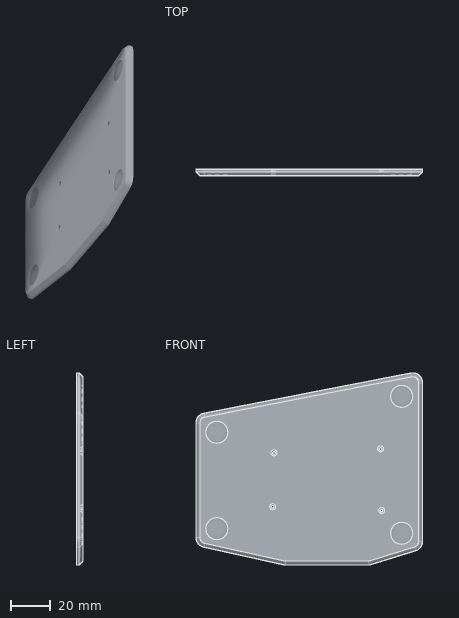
import cadquery as cq
import math

WIDTH = 113.6
HEIGHT = 96.41
THICKNESS = 3.35
CORNER_RADIUS = 5.0
EDGE_CHAMFER = 2.0

TOP_SLOPE_ANGLE = 11.0
BOTTOM_FLAT_LEFT_X = -12.1
BOTTOM_FLAT_RIGHT_X = 30.0
LEFT_CORNER_RISE = 9.9
RIGHT_CORNER_RISE = 8.3

FOOT_DIAMETER = 11.0
FOOT_DEPTH = 0.5
FOOT_X = 46.3
FOOT_CENTERS = [
    (-FOOT_X, 18.4),
    (FOOT_X, 36.4),
    (-FOOT_X, -29.9),
    (FOOT_X, -32.2),
]

SCREW_DIAMETER = 1.22
SINK_DIAMETER = 3.0
SINK_ANGLE = 90.0
SCREW_CENTERS = [
    (-17.7, 8.1),
    (35.7, 10.1),
    (-18.3, -18.9),
    (36.3, -20.8),
]

HALF_WIDTH = WIDTH / 2
HALF_HEIGHT = HEIGHT / 2
FRONT_Y = -THICKNESS / 2


def front_plane():
    """Plane on the front face: local x is +X, local y is +Z, normal is -Y."""
    return cq.Workplane("XZ", origin=(0, FRONT_Y, 0))


def make_plate():
    """Six-sided plate with rounded side corners and a chamfered front rim."""
    slope = math.radians(TOP_SLOPE_ANGLE)
    sharp_excess = CORNER_RADIUS * (1 / math.cos(slope) + math.tan(slope) - 1)
    top_right_z = HALF_HEIGHT + sharp_excess
    top_left_z = top_right_z - WIDTH * math.tan(slope)
    outline = [
        (-HALF_WIDTH, top_left_z),
        (HALF_WIDTH, top_right_z),
        (HALF_WIDTH, -HALF_HEIGHT + RIGHT_CORNER_RISE),
        (BOTTOM_FLAT_RIGHT_X, -HALF_HEIGHT),
        (BOTTOM_FLAT_LEFT_X, -HALF_HEIGHT),
        (-HALF_WIDTH, -HALF_HEIGHT + LEFT_CORNER_RISE),
    ]
    plate = front_plane().polyline(outline).close().extrude(-THICKNESS)
    plate = plate.edges("|Y and (<X or >X)").fillet(CORNER_RADIUS)
    return plate.faces("<Y").chamfer(EDGE_CHAMFER)


def foot_recesses():
    """Shallow discs to remove from the front face."""
    return front_plane().pushPoints(FOOT_CENTERS).circle(FOOT_DIAMETER / 2).extrude(-FOOT_DEPTH)


def countersunk_hole(x, z):
    """Through hole with a conical mouth on the front face."""
    sink_depth = (SINK_DIAMETER - SCREW_DIAMETER) / 2 / math.tan(math.radians(SINK_ANGLE / 2))
    shaft = front_plane().center(x, z).circle(SCREW_DIAMETER / 2).extrude(-THICKNESS)
    cone = cq.Solid.makeCone(
        SINK_DIAMETER / 2,
        SCREW_DIAMETER / 2,
        sink_depth,
        pnt=cq.Vector(x, FRONT_Y, z),
        dir=cq.Vector(0, 1, 0),
    )
    return shaft.union(cq.Workplane(obj=cone))


result = make_plate().cut(foot_recesses())
for screw_x, screw_z in SCREW_CENTERS:
    result = result.cut(countersunk_hole(screw_x, screw_z))